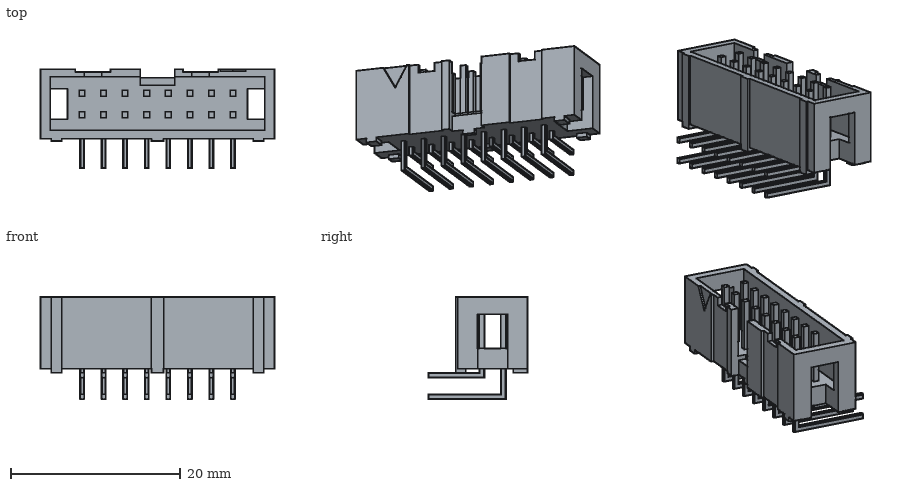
import cadquery as cq


length = 27.65
depth = 8.25
height = 8.49
back_face = depth / 2
front_face = -depth / 2

end_wall = 1.2
back_wall = 0.9
front_wall = 1.0
cavity_depth = 6.08

window_width = 3.57
window_top = -2.07
window_reach = 3.18

rib_thickness = 0.25
end_rib_width = 1.27
end_rib_inset = 1.27
mid_rib_width = 1.45
foot_height = 0.5
front_foot_depth = 1.22
back_foot_depth = 1.7

key_width = 4.05
key_depth = 1.0
key_ledge_depth = 0.9
key_ledge_drop = 0.55

pitch = 2.55
recess_positions = (-3 * pitch, 2 * pitch)
recess_width = 4.15
recess_depth = 0.33
rim_notch_width = 2.07
rim_notch_drop = 1.0

mark_width = 3.0
mark_height = 2.63
mark_depth = 0.25

pins_per_row = 8
post_width = 0.65
leg_width = 0.53
leg_thickness = 0.64
leg_chamfer = 0.08
leg_end = -7.57
lower_leg_bottom = -12.1
upper_leg_bottom = lower_leg_bottom + pitch


def block(x_range, y_range, z_range):
    """Box spanning the given (low, high) limits on each axis."""
    x_low, x_high = x_range
    y_low, y_high = y_range
    z_low, z_high = z_range
    size = (x_high - x_low, y_high - y_low, z_high - z_low)
    return cq.Workplane("XY").box(*size, centered=False).translate((x_low, y_low, z_low))


def centred(middle, width):
    """Limits of a span of the given width around its middle."""
    return (middle - width / 2, middle + width / 2)


def make_shroud():
    shroud = block(centred(0, length), centred(0, depth), (-height, 0))
    cavity = block(
        centred(0, length - 2 * end_wall),
        (front_face + front_wall, back_face - back_wall),
        (-cavity_depth, 0),
    )
    shroud = shroud.cut(cavity)
    for side in (-1, 1):
        window_middle = side * (length - window_reach) / 2
        window = block(
            centred(window_middle, window_reach),
            centred(0, window_width),
            (-height, window_top),
        )
        shroud = shroud.cut(window)
    return shroud


def make_ribs_and_feet():
    """Front ribs that run down into feet, with matching feet at the back."""
    end_rib_x = length / 2 - end_rib_inset - end_rib_width / 2
    bottom = -height - foot_height
    rib_front = front_face - rib_thickness
    rib_sizes = (
        (-end_rib_x, end_rib_width),
        (0, mid_rib_width),
        (end_rib_x, end_rib_width),
    )
    ribs = cq.Workplane("XY")
    for middle, width in rib_sizes:
        span = centred(middle, width)
        ribs = ribs.union(block(span, (rib_front, front_face), (bottom, 0)))
        ribs = ribs.union(block(span, (rib_front, rib_front + front_foot_depth), (bottom, -height)))
        ribs = ribs.union(block(span, (back_face - back_foot_depth, back_face), (bottom, -height)))
    return ribs


def make_key_slot():
    """Slot through the back wall, with a shallow ledge sunk in the floor."""
    slot_front = back_face - key_depth
    bottom = -height - foot_height
    slot = block(centred(0, key_width), (slot_front, back_face), (bottom, 0))
    ledge = block(
        centred(0, key_width),
        (slot_front - key_ledge_depth, slot_front),
        (-cavity_depth - key_ledge_drop, 0),
    )
    return slot.union(ledge)


def make_back_recess(middle):
    """Shallow full-height recess with a notch cut through the rim at its middle."""
    recess = block(centred(middle, recess_width), (back_face - recess_depth, back_face), (-height, 0))
    notch = block(
        centred(middle, rim_notch_width),
        (back_face - back_wall, back_face),
        (-rim_notch_drop, 0),
    )
    return recess.union(notch)


def make_pin_mark(middle):
    """Triangle open at the rim, pointing down."""
    left, right = centred(middle, mark_width)
    return (
        cq.Workplane("XZ", origin=(0, back_face, 0))
        .polyline([(left, 0), (right, 0), (middle, -mark_height)])
        .close()
        .extrude(mark_depth)
    )


def make_pin(x, y, leg_bottom):
    """Square post above the floor and a chamfered leg bent toward the front."""
    post = block(centred(x, post_width), centred(y, post_width), (-height, 0))
    leg_z = leg_bottom + leg_thickness / 2
    path = (
        cq.Workplane("YZ", origin=(x, 0, 0))
        .moveTo(y, -height)
        .lineTo(y, leg_z)
        .lineTo(leg_end, leg_z)
    )
    leg = (
        cq.Workplane("XY", origin=(x, y, -height))
        .sketch()
        .rect(leg_width, leg_thickness)
        .vertices()
        .chamfer(leg_chamfer)
        .finalize()
        .sweep(path, transition="right")
    )
    return post.union(leg)


pin_positions = [(i - (pins_per_row - 1) / 2) * pitch for i in range(pins_per_row)]

result = make_shroud().union(make_ribs_and_feet()).cut(make_key_slot())
for recess_x in recess_positions:
    result = result.cut(make_back_recess(recess_x))
result = result.cut(make_pin_mark(pin_positions[-1]))
for pin_x in pin_positions:
    result = result.union(make_pin(pin_x, pitch / 2, lower_leg_bottom))
    result = result.union(make_pin(pin_x, -pitch / 2, upper_leg_bottom))